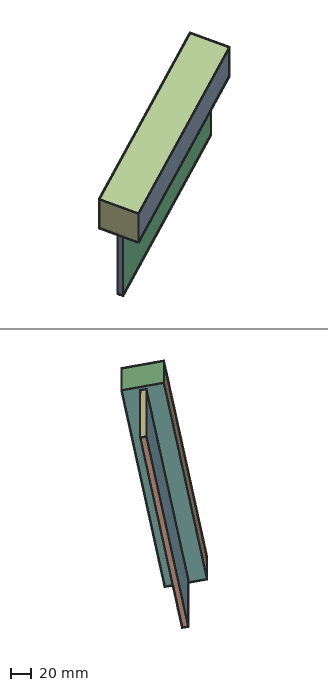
import cadquery as cq

head_width = 42.0
head_length = 217.0
head_height = 49.0

blade_thickness = 6.0
blade_length = 210.0
blade_height = 105.0

total_height = head_height + blade_height
top_z = total_height / 2
joint_z = top_z - head_height


def make_head():
    """Plain rectangular bar standing on the joint plane."""
    return (
        cq.Workplane("XY", origin=(0, 0, joint_z))
        .rect(head_width, head_length)
        .extrude(head_height)
    )


def make_blade():
    """Thin rectangular plate reaching down from the joint plane."""
    return (
        cq.Workplane("XY", origin=(0, 0, joint_z))
        .rect(blade_thickness, blade_length)
        .extrude(-blade_height)
    )


head = make_head()
blade = make_blade()

result = cq.Compound.makeCompound([head.val(), blade.val()])